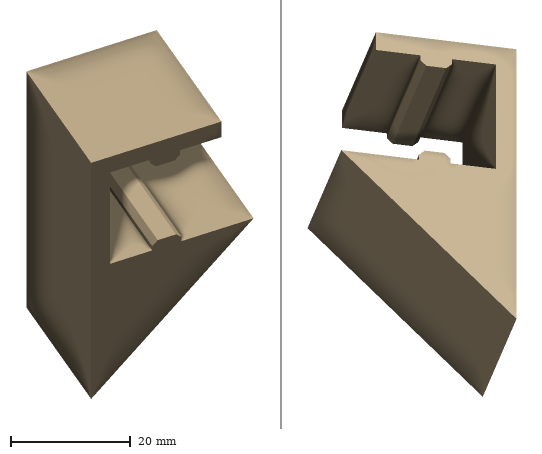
import cadquery as cq

width = 25.25
depth = 30.0
height = 53.0

wall = 3.5
flange_depth = 24.05
shelf_height = 29.0
ceiling_height = height - wall

ridge_width = 5.4
ridge_height = 1.9
ridge_chamfer_run = 1.0
ridge_chamfer_rise = 0.95
lower_ridge_start = 11.3
upper_ridge_start = 11.0


def ridge_points(start, base, direction):
    """Ridge outline in order of increasing Y; direction is +1 up, -1 down."""
    end = start + ridge_width
    shoulder = base + direction * (ridge_height - ridge_chamfer_rise)
    crest = base + direction * ridge_height
    return [
        (start, base),
        (start, shoulder),
        (start + ridge_chamfer_run, crest),
        (end - ridge_chamfer_run, crest),
        (end, shoulder),
        (end, base),
    ]


lower_ridge = ridge_points(lower_ridge_start, shelf_height, 1)
upper_ridge = ridge_points(upper_ridge_start, ceiling_height, -1)

profile = [
    (0, 0),
    (depth, shelf_height),
    *reversed(lower_ridge),
    (wall, shelf_height),
    (wall, ceiling_height),
    *upper_ridge,
    (flange_depth, ceiling_height),
    (flange_depth, height),
    (0, height),
]

result = cq.Workplane("YZ").polyline(profile).close().extrude(width)